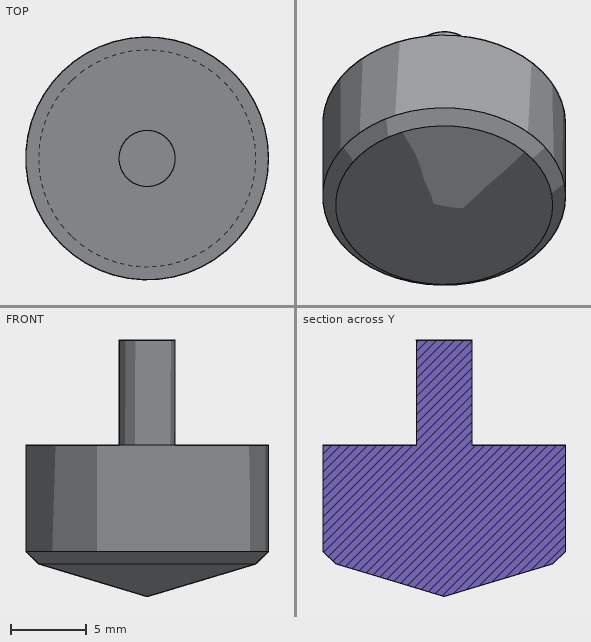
import cadquery as cq

total_height = 16.9
head_diameter = 16.0
pin_diameter = 3.7
pin_length = 6.91
tip_height = 2.15
tip_diameter = 14.3
bevel_height = 0.83

head_radius = head_diameter / 2
pin_radius = pin_diameter / 2
tip_radius = tip_diameter / 2
side_bottom = tip_height + bevel_height
head_top = total_height - pin_length

half_profile = (
    cq.Workplane("XZ")
    .moveTo(0, 0)
    .lineTo(tip_radius, tip_height)
    .lineTo(head_radius, side_bottom)
    .lineTo(head_radius, head_top)
    .lineTo(pin_radius, head_top)
    .lineTo(pin_radius, total_height)
    .lineTo(0, total_height)
    .close()
)

result = half_profile.revolve(360, (0, 0, 0), (0, 1, 0))